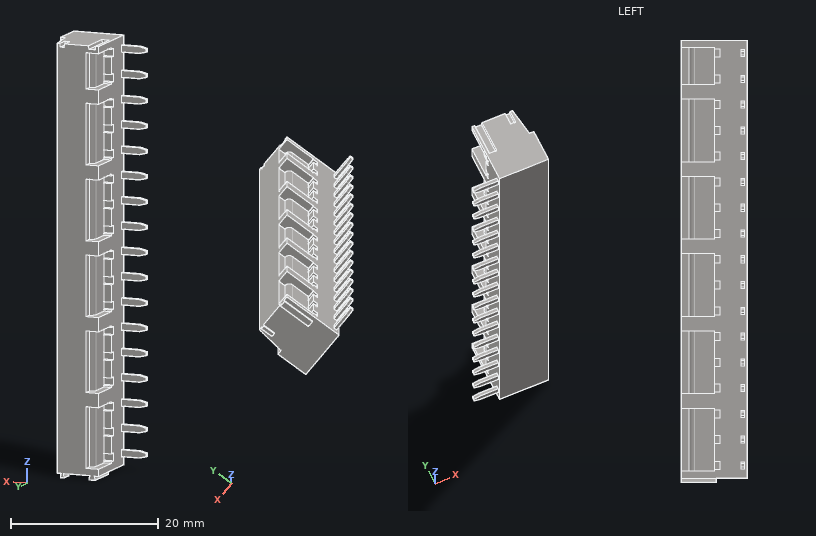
import cadquery as cq

length = 60.05
body_width = 7.3
body_depth = 9.0
key_height = 0.6
body_bottom = key_height - length / 2
body_top = length / 2
body_length = body_top - body_bottom

pin_count = 17
pin_pitch = body_length / pin_count
first_pin_z = body_bottom + pin_pitch / 2
pin_length = 3.6
pin_width = 0.95
pin_thickness = 0.5
pin_tip_width = 0.5
pin_taper_length = 0.95
pin_offset = 0.4

ledge_y = 4.8
ledge_width = 0.65
slope_run = 0.6

pins_per_pocket = 3
pocket_count = 6
rib_width = 2.0
pocket_y = 4.45
pocket_depth = 1.1
lip_depth = 1.8
lip_width = 1.1
lip_radius = lip_depth - pocket_depth

notch_width = 1.1
notch_length = 0.7
notch_depth = 1.45

wide_key_x = 0.95
wide_key_neck = 0.65
wide_key_base = 0.9
wide_key_length = 4.8
narrow_key_x = 5.35
narrow_key_neck = 0.35
narrow_key_base = 0.55
narrow_key_length = 1.8
key_lip = 0.2
slot_depth = 0.5
slot_flare = 0.09


def make_body():
    ledge_x = body_width - ledge_width
    outline = [
        (0, 0),
        (body_width, 0),
        (body_width, ledge_y),
        (ledge_x, ledge_y),
        (ledge_x - slope_run, body_depth),
        (0, body_depth),
    ]
    base_plane = cq.Workplane("XY").workplane(offset=body_bottom)
    return base_plane.polyline(outline).close().extrude(body_length)


def make_pocket(low_z, high_z):
    lip_y = body_depth - lip_width
    return (
        cq.Workplane("XY")
        .workplane(offset=low_z)
        .moveTo(0, pocket_y)
        .lineTo(pocket_depth, pocket_y)
        .lineTo(pocket_depth, lip_y - lip_radius)
        .radiusArc((lip_depth, lip_y), lip_radius)
        .lineTo(lip_depth, body_depth)
        .lineTo(0, body_depth)
        .close()
        .extrude(high_z - low_z)
    )


def make_notch(z):
    notch = cq.Workplane("XY").box(notch_depth, notch_length, notch_width, centered=(False, False, True))
    return notch.translate((0, pocket_y - notch_length, z))


def make_pin(z):
    half = pin_width / 2
    half_tip = pin_tip_width / 2
    taper_x = pin_taper_length - pin_length
    outline = [
        (0, z - half),
        (taper_x, z - half),
        (-pin_length, z - half_tip),
        (-pin_length, z + half_tip),
        (taper_x, z + half),
        (0, z + half),
    ]
    return cq.Workplane("XZ", origin=(0, pin_offset, 0)).polyline(outline).close().extrude(-pin_thickness)


def make_key(center_x, neck, base, run):
    base_z = body_bottom - key_height
    flare_z = base_z + key_lip
    outline = [
        (center_x - neck / 2, body_bottom),
        (center_x - base / 2, flare_z),
        (center_x - base / 2, base_z),
        (center_x + base / 2, base_z),
        (center_x + base / 2, flare_z),
        (center_x + neck / 2, body_bottom),
    ]
    return cq.Workplane("XZ", origin=(0, body_depth, 0)).polyline(outline).close().extrude(run)


def make_slot(center_x, floor_width, run):
    half_floor = floor_width / 2
    half_mouth = half_floor + slot_flare
    floor_z = body_top - slot_depth
    outline = [
        (center_x - half_mouth, body_top),
        (center_x - half_floor, floor_z),
        (center_x + half_floor, floor_z),
        (center_x + half_mouth, body_top),
    ]
    return cq.Workplane("XZ", origin=(0, body_depth, 0)).polyline(outline).close().extrude(run)


result = make_body()

pocket_pitch = pins_per_pocket * pin_pitch
for index in range(pocket_count):
    pocket_low = body_bottom + index * pocket_pitch + rib_width / 2
    pocket_high = min(pocket_low + pocket_pitch - rib_width, body_top - rib_width / 2)
    result = result.cut(make_pocket(pocket_low, pocket_high))

for index in range(pin_count):
    pin_z = first_pin_z + index * pin_pitch
    result = result.cut(make_notch(pin_z))
    result = result.union(make_pin(pin_z))

for center_x, neck, base, run in (
    (wide_key_x, wide_key_neck, wide_key_base, wide_key_length),
    (narrow_key_x, narrow_key_neck, narrow_key_base, narrow_key_length),
):
    result = result.union(make_key(center_x, neck, base, run))
    result = result.cut(make_slot(center_x, base, run))